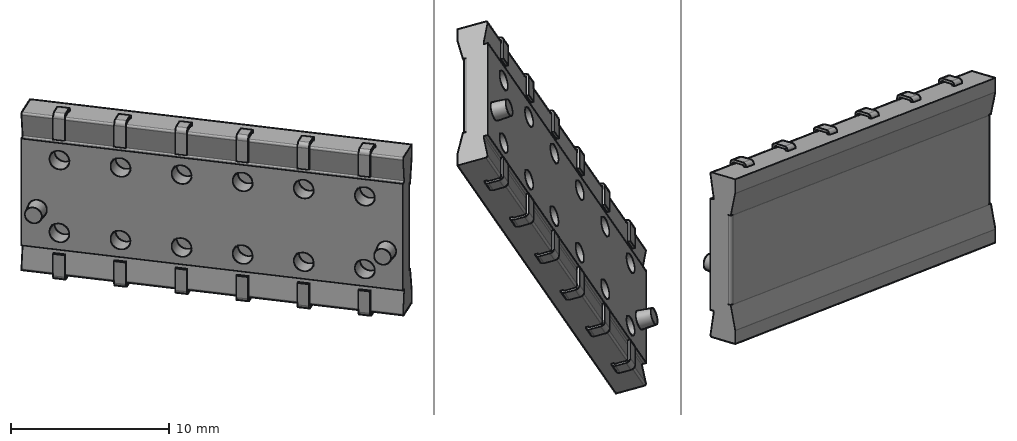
import cadquery as cq
import math

body_length = 24.99
body_depth = 2.1
body_half_height = 5.53
front_edge_radius = 0.13
ledge_height = 3.73
ledge_set_back = 0.31
ledge_corner_radius = 0.08
back_recess_depth = 0.375
back_flat_half_height = 3.0
back_taper_top = 4.6
back_end_radius = 0.21

terminals_per_row = 6
terminal_pitch = 4.0
terminal_width = 0.76
terminal_thickness = 0.18
terminal_outer_radius = 0.3
terminal_front = -0.15
terminal_back = 1.18
terminal_half_height = 11.61 / 2
terminal_tip_height = 4.0
terminal_embedment = 0.2

hole_diameter = 1.3
hole_depth = 1.2
hole_height = 2.54

pin_x = 11.43
pin_z = -1.04
pin_length = 1.0
pin_base_diameter = 1.24
pin_tip_diameter = 1.1

column_positions = [
    (i - (terminals_per_row - 1) / 2) * terminal_pitch for i in range(terminals_per_row)
]
both_sides = (1, -1)


def make_body():
    """Extrude the symmetric rail profile and round its rail edges and ledge corners."""
    half_outline = [
        (0, ledge_height),
        (ledge_set_back, ledge_height),
        (0, body_half_height),
        (body_depth, body_half_height),
        (body_depth, back_taper_top),
        (body_depth - back_recess_depth, back_flat_half_height),
    ]
    mirrored_half = [(y, -z) for y, z in reversed(half_outline)]
    body = (
        cq.Workplane("YZ")
        .polyline(half_outline + mirrored_half)
        .close()
        .extrude(body_length / 2, both=True)
    )
    for side in both_sides:
        rail_edge = (0, 0, side * body_half_height)
        ledge_corner = (0, ledge_set_back, side * ledge_height)
        body = body.edges(cq.NearestToPointSelector(rail_edge)).fillet(front_edge_radius)
        body = body.edges(cq.NearestToPointSelector(ledge_corner)).fillet(ledge_corner_radius)
    return body


def make_back_end_rounding(side):
    """Material to remove where the back flat rolls over into an end face."""
    end_x = side * body_length / 2
    tangent_x = end_x - side * back_end_radius
    back_y = body_depth - back_recess_depth
    tangent_y = back_y - back_end_radius
    arc_reach = back_end_radius * math.sqrt(0.5)
    return (
        cq.Workplane("XY")
        .moveTo(tangent_x, back_y)
        .threePointArc((tangent_x + side * arc_reach, tangent_y + arc_reach), (end_x, tangent_y))
        .lineTo(end_x, back_y)
        .close()
        .extrude(back_flat_half_height, both=True)
    )


def make_terminal(x):
    """Upper terminal: strip bent twice, with its rear leg set in the body."""
    inner_radius = terminal_outer_radius - terminal_thickness
    bend_z = terminal_half_height - terminal_outer_radius
    front_bend_y = terminal_front + terminal_outer_radius
    back_bend_y = terminal_back - terminal_outer_radius
    inner_z = bend_z + inner_radius
    leg_end_z = body_half_height - terminal_embedment
    outer_reach = terminal_outer_radius * math.sqrt(0.5)
    inner_reach = inner_radius * math.sqrt(0.5)
    return (
        cq.Workplane("YZ", origin=(x, 0, 0))
        .moveTo(terminal_front, terminal_tip_height)
        .lineTo(terminal_front, bend_z)
        .threePointArc(
            (front_bend_y - outer_reach, bend_z + outer_reach),
            (front_bend_y, terminal_half_height),
        )
        .lineTo(back_bend_y, terminal_half_height)
        .threePointArc(
            (back_bend_y + outer_reach, bend_z + outer_reach),
            (terminal_back, bend_z),
        )
        .lineTo(terminal_back, leg_end_z)
        .lineTo(terminal_back - terminal_thickness, leg_end_z)
        .lineTo(terminal_back - terminal_thickness, bend_z)
        .threePointArc(
            (back_bend_y + inner_reach, bend_z + inner_reach),
            (back_bend_y, inner_z),
        )
        .lineTo(front_bend_y, inner_z)
        .threePointArc(
            (front_bend_y - inner_reach, bend_z + inner_reach),
            (terminal_front + terminal_thickness, bend_z),
        )
        .lineTo(terminal_front + terminal_thickness, terminal_tip_height)
        .close()
        .extrude(terminal_width / 2, both=True)
    )


def make_pin(side):
    """Tapered pin standing out of the front face towards -Y."""
    return cq.Workplane(
        cq.Solid.makeCone(
            pin_base_diameter / 2,
            pin_tip_diameter / 2,
            pin_length,
            pnt=cq.Vector(side * pin_x, 0, pin_z),
            dir=cq.Vector(0, -1, 0),
        )
    )


def make_holes():
    """Two rows of blind holes, bored from the front face towards +Y."""
    centres = [(x, side * hole_height) for x in column_positions for side in both_sides]
    return cq.Workplane("XZ").pushPoints(centres).circle(hole_diameter / 2).extrude(-hole_depth)


result = make_body().cut(make_holes())

for end in both_sides:
    result = result.cut(make_back_end_rounding(end))
    result = result.union(make_pin(end))

for column_x in column_positions:
    upper_terminal = make_terminal(column_x)
    result = result.union(upper_terminal)
    result = result.union(upper_terminal.mirror("XY"))